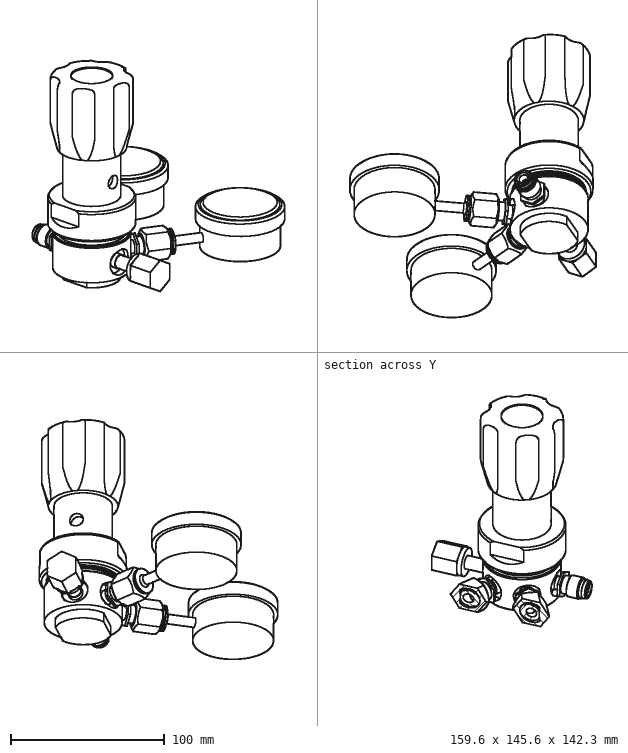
import cadquery as cq
import math


FOOT_TOP = 6.4
BODY_SHOULDER = 31.6
BODY_TOP = 34.5
RING_LIP_TOP = 36.1
RING_CHAMFER_TOP = 37.7
RING_TOP = 57.7
KNOB_BOTTOM = 91.5
KNOB_TAPER_TOP = 109.0
KNOB_TOP = 142.3
PORT_HEIGHT = 17.4

FOOT_RADIUS = 19.0
FOOT_FLAT_DISTANCE = 16.1
BODY_RADIUS = 25.4
BODY_CHAMFER = 0.8
BODY_NECK_RADIUS = 22.2
SPOTFACE_RADIUS = 8.8
SPOTFACE_FLOOR = 20.8
STUB_RADIUS = 4.8
STUB_END = 24.5

RING_RADIUS = 28.6
RING_BOTTOM_RADIUS = 27.2
RING_LIP_RADIUS = 24.1
RING_LIP_CHAMFER = 0.6
RING_TOP_CHAMFER_HEIGHT = 1.6
RING_TOP_CHAMFER_WIDTH = 1.0
RING_FLAT_DISTANCE = 26.0
RING_FLAT_BOTTOM = 46.8

COLUMN_RADIUS = 19.0
VENT_RADIUS = 4.5
VENT_HEIGHT = 72.2
VENT_DEPTH = 4.8

KNOB_RADIUS = 27.0
KNOB_BOTTOM_RADIUS = 22.7
KNOB_EDGE_RADIUS = 3.2
FLUTE_COUNT = 6
FLUTE_RADIUS = 10.0
FLUTE_FLOOR = 22.5
CAP_RECESS_RADIUS = 13.5
CAP_RECESS_DEPTH = 0.8

FITTING_NECK_RADIUS = 4.5
FITTING_HEX_START = 28.1
FITTING_HEX_END = 29.7
FITTING_HEX_FLATS = 16.1
THREAD_START = 33.9
THREAD_END = 41.4
THREAD_RADIUS = 7.2
RELIEF_RADIUS = 6.0
SEAL_RING_START = 42.0
SEAL_RING_END = 44.1
SEAL_RING_RADIUS = 6.5
FITTING_TIP = 47.0
FITTING_TIP_CHAMFER = 0.6
FITTING_BORE_RADIUS = 3.0
COUNTERSINK_DEPTH = 1.1
FITTING_BORE_DEPTH = 6.4

NUT_FLATS = 19.2
NUT_CORNER_RADIUS = NUT_FLATS / math.sqrt(3)

FEMALE_COLLAR_START = 38.8
FEMALE_HEX_START = 42.0
FEMALE_END = 59.5

GAUGE_DISTANCE = 101.6
GAUGE_BOTTOM = 8.0
GAUGE_RIM_BOTTOM = 27.0
GAUGE_RIM_TOP = 35.8
GAUGE_STEP_HEIGHT = 37.2
GAUGE_TOP = 38.7
GAUGE_BODY_RADIUS = 26.4
GAUGE_RIM_RADIUS = 29.0
GAUGE_STEP_OUTER_RADIUS = 27.2
GAUGE_STEP_INNER_RADIUS = 25.9
GAUGE_FACE_RADIUS = 24.1
GAUGE_TUBE_RADIUS = 3.2

GAUGE_NUT_START = THREAD_START
GAUGE_NUT_FACE_RADIUS = 8.0
GAUGE_NUT_INNER_CHAMFER_END = 35.6
GAUGE_NUT_OUTER_CHAMFER_START = 50.3
GAUGE_NUT_OUTER_CHAMFER_END = 52.4
GAUGE_COLLAR_RADIUS = 8.5
GAUGE_COLLAR_START = 53.5
GAUGE_NUT_NECK_RADIUS = 8.0
GAUGE_COLLAR_END = 54.8
GAUGE_HUB_RADIUS = 4.3
GAUGE_HUB_END = 56.5

FEMALE_ANGLE = 0
GAUGE_ANGLES = [60, 120]
OUTLET_ANGLE = 180
MALE_ANGLES = GAUGE_ANGLES + [OUTLET_ANGLE]
PORT_ANGLES = [FEMALE_ANGLE] + MALE_ANGLES


def upright_revolve(profile):
    """Turn (radius, height) points about the Z axis."""
    return cq.Workplane("XZ").polyline(profile).close().revolve(360, (0, 0), (0, 1))


def outward_revolve(profile):
    """Turn (distance, radius) points about the X axis."""
    return cq.Workplane("XY").polyline(profile).close().revolve(360, (0, 0), (1, 0))


def outward_cylinder(radius, start, end):
    """Cylinder along X from one distance to another."""
    return cq.Workplane("YZ").workplane(offset=start).circle(radius).extrude(end - start)


def outward_hex(flats, start, end, turn):
    """Hexagonal bar along X, turned about X by an angle; at 0 its corners point along Y."""
    corner_diameter = 2 * flats / math.sqrt(3)
    bar = cq.Workplane("YZ").workplane(offset=start).polygon(6, corner_diameter).extrude(end - start)
    return bar.rotate((0, 0, 0), (1, 0, 0), turn)


def place_at_port(shape, angle):
    """Move a shape that lies along X to the port height and swing it to its direction."""
    return shape.translate((0, 0, PORT_HEIGHT)).rotate((0, 0, 0), (0, 0, 1), angle)


def make_body():
    main = upright_revolve([
        (0, FOOT_TOP),
        (BODY_RADIUS, FOOT_TOP),
        (BODY_RADIUS, BODY_SHOULDER - BODY_CHAMFER),
        (BODY_RADIUS - BODY_CHAMFER, BODY_SHOULDER),
        (BODY_NECK_RADIUS, BODY_SHOULDER),
        (BODY_NECK_RADIUS, BODY_TOP),
        (0, BODY_TOP),
    ])
    foot = cq.Workplane("XY").circle(FOOT_RADIUS).extrude(FOOT_TOP)
    foot_flats = cq.Workplane("XY").rect(2 * FOOT_RADIUS, 2 * FOOT_FLAT_DISTANCE).extrude(FOOT_TOP)
    body = main.union(foot.intersect(foot_flats))
    stub = outward_cylinder(STUB_RADIUS, SPOTFACE_FLOOR, STUB_END)
    spotface = outward_cylinder(SPOTFACE_RADIUS, SPOTFACE_FLOOR, BODY_RADIUS)
    for angle in PORT_ANGLES:
        body = body.cut(place_at_port(spotface, angle)).union(place_at_port(stub, angle))
    return body


def make_bonnet_ring():
    ring = upright_revolve([
        (0, BODY_TOP),
        (RING_LIP_RADIUS - RING_LIP_CHAMFER, BODY_TOP),
        (RING_LIP_RADIUS, BODY_TOP + RING_LIP_CHAMFER),
        (RING_LIP_RADIUS, RING_LIP_TOP),
        (RING_BOTTOM_RADIUS, RING_LIP_TOP),
        (RING_RADIUS, RING_CHAMFER_TOP),
        (RING_RADIUS, RING_TOP - RING_TOP_CHAMFER_HEIGHT),
        (RING_RADIUS - RING_TOP_CHAMFER_WIDTH, RING_TOP),
        (0, RING_TOP),
    ])
    run_out = RING_RADIUS - RING_FLAT_DISTANCE
    flat_cut = (
        cq.Workplane("YZ")
        .moveTo(RING_FLAT_DISTANCE, RING_TOP)
        .lineTo(RING_FLAT_DISTANCE, RING_FLAT_BOTTOM)
        .lineTo(RING_RADIUS, RING_FLAT_BOTTOM - run_out)
        .lineTo(RING_RADIUS, RING_TOP)
        .close()
        .extrude(RING_RADIUS, both=True)
    )
    return ring.cut(flat_cut).cut(flat_cut.mirror("XZ"))


def make_column():
    column = cq.Workplane("XY").workplane(offset=RING_TOP).circle(COLUMN_RADIUS)
    column = column.extrude(KNOB_BOTTOM - RING_TOP)
    vent = outward_cylinder(VENT_RADIUS, COLUMN_RADIUS - VENT_DEPTH, COLUMN_RADIUS)
    return column.cut(vent.translate((0, 0, VENT_HEIGHT)))


def make_knob():
    knob = upright_revolve([
        (0, KNOB_BOTTOM),
        (KNOB_BOTTOM_RADIUS, KNOB_BOTTOM),
        (KNOB_RADIUS, KNOB_TAPER_TOP),
        (KNOB_RADIUS, KNOB_TOP),
        (0, KNOB_TOP),
    ])
    knob = knob.faces(">Z").edges().fillet(KNOB_EDGE_RADIUS)
    flutes = (
        cq.Workplane("XY")
        .workplane(offset=KNOB_BOTTOM)
        .polarArray(FLUTE_FLOOR + FLUTE_RADIUS, 0, 360, FLUTE_COUNT)
        .circle(FLUTE_RADIUS)
        .extrude(KNOB_TOP - KNOB_BOTTOM)
    )
    recess = cq.Workplane("XY").workplane(offset=KNOB_TOP - CAP_RECESS_DEPTH)
    recess = recess.circle(CAP_RECESS_RADIUS).extrude(CAP_RECESS_DEPTH)
    return knob.cut(flutes).cut(recess)


def make_male_fitting(angle):
    turned = outward_revolve([
        (STUB_END, 0),
        (STUB_END, FITTING_NECK_RADIUS),
        (FITTING_HEX_START, FITTING_NECK_RADIUS),
        (FITTING_HEX_START, RELIEF_RADIUS),
        (THREAD_START, RELIEF_RADIUS),
        (THREAD_START, THREAD_RADIUS),
        (THREAD_END, THREAD_RADIUS),
        (SEAL_RING_START, RELIEF_RADIUS),
        (SEAL_RING_START, SEAL_RING_RADIUS),
        (SEAL_RING_END, SEAL_RING_RADIUS),
        (SEAL_RING_END, RELIEF_RADIUS),
        (FITTING_TIP - FITTING_TIP_CHAMFER, RELIEF_RADIUS),
        (FITTING_TIP, RELIEF_RADIUS - FITTING_TIP_CHAMFER),
        (FITTING_TIP, 0),
    ])
    hex_flange = outward_hex(FITTING_HEX_FLATS, FITTING_HEX_START, FITTING_HEX_END, 90)
    bore = outward_revolve([
        (FITTING_TIP - FITTING_BORE_DEPTH, 0),
        (FITTING_TIP - FITTING_BORE_DEPTH, FITTING_BORE_RADIUS),
        (FITTING_TIP - COUNTERSINK_DEPTH, FITTING_BORE_RADIUS),
        (FITTING_TIP, FITTING_BORE_RADIUS + COUNTERSINK_DEPTH),
        (FITTING_TIP, 0),
    ])
    return place_at_port(turned.union(hex_flange).cut(bore), angle)


def make_female_fitting():
    tube = outward_cylinder(FITTING_NECK_RADIUS, STUB_END, FEMALE_COLLAR_START)
    collar = outward_cylinder(NUT_FLATS / 2, FEMALE_COLLAR_START, FEMALE_HEX_START)
    nut = outward_hex(NUT_FLATS, FEMALE_HEX_START, FEMALE_END, 90)
    return place_at_port(tube.union(collar).union(nut), FEMALE_ANGLE)


def make_gauge_nut():
    """Chamfered hexagonal nut with its collar, recessed for the male fitting's thread."""
    hex_bar = outward_hex(NUT_FLATS, GAUGE_NUT_START, GAUGE_NUT_OUTER_CHAMFER_END, 0)
    chamfer_envelope = outward_revolve([
        (GAUGE_NUT_START, 0),
        (GAUGE_NUT_START, GAUGE_NUT_FACE_RADIUS),
        (GAUGE_NUT_INNER_CHAMFER_END, NUT_CORNER_RADIUS),
        (GAUGE_NUT_OUTER_CHAMFER_START, NUT_CORNER_RADIUS),
        (GAUGE_NUT_OUTER_CHAMFER_END, GAUGE_NUT_NECK_RADIUS),
        (GAUGE_NUT_OUTER_CHAMFER_END, 0),
    ])
    collar_and_hub = outward_revolve([
        (GAUGE_NUT_OUTER_CHAMFER_END, 0),
        (GAUGE_NUT_OUTER_CHAMFER_END, GAUGE_NUT_NECK_RADIUS),
        (GAUGE_COLLAR_START, GAUGE_NUT_NECK_RADIUS),
        (GAUGE_COLLAR_START, GAUGE_COLLAR_RADIUS),
        (GAUGE_COLLAR_END, GAUGE_COLLAR_RADIUS),
        (GAUGE_COLLAR_END, GAUGE_HUB_RADIUS),
        (GAUGE_HUB_END, GAUGE_TUBE_RADIUS),
        (GAUGE_HUB_END, 0),
    ])
    thread_bore = outward_cylinder(THREAD_RADIUS, GAUGE_NUT_START, FITTING_TIP)
    return hex_bar.intersect(chamfer_envelope).union(collar_and_hub).cut(thread_bore)


def make_gauge(angle):
    case = upright_revolve([
        (0, GAUGE_BOTTOM),
        (GAUGE_BODY_RADIUS, GAUGE_BOTTOM),
        (GAUGE_BODY_RADIUS, GAUGE_RIM_BOTTOM),
        (GAUGE_RIM_RADIUS, GAUGE_RIM_BOTTOM),
        (GAUGE_RIM_RADIUS, GAUGE_RIM_TOP),
        (GAUGE_STEP_OUTER_RADIUS, GAUGE_STEP_HEIGHT),
        (GAUGE_STEP_INNER_RADIUS, GAUGE_STEP_HEIGHT),
        (GAUGE_FACE_RADIUS, GAUGE_TOP),
        (0, GAUGE_TOP),
    ])
    case = case.translate((GAUGE_DISTANCE, 0, -PORT_HEIGHT))
    tube = outward_cylinder(GAUGE_TUBE_RADIUS, GAUGE_HUB_END, GAUGE_DISTANCE)
    return place_at_port(case.union(tube).union(make_gauge_nut()), angle)


body = make_body()
bonnet_ring = make_bonnet_ring()
column = make_column()
knob = make_knob()
female_fitting = make_female_fitting()
male_fittings = [make_male_fitting(angle) for angle in MALE_ANGLES]
gauges = [make_gauge(angle) for angle in GAUGE_ANGLES]

result = cq.Compound.makeCompound([
    body.val(),
    bonnet_ring.val(),
    column.val(),
    knob.val(),
    female_fitting.val(),
    *[fitting.val() for fitting in male_fittings],
    *[gauge.val() for gauge in gauges],
])